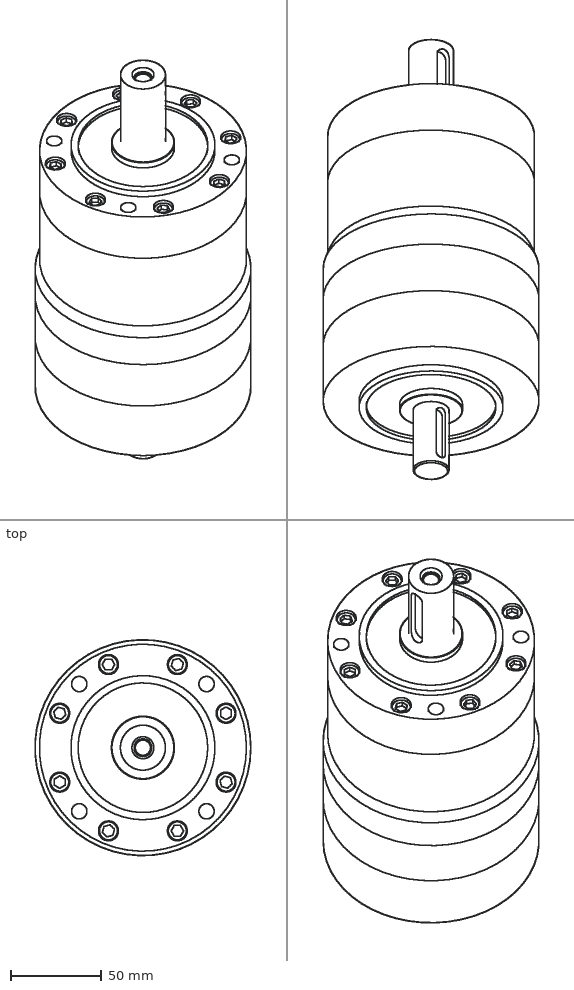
import cadquery as cq
import math


slim_diameter = 115.0
wide_diameter = 120.0
output_flange_length = 30.0
output_ring_length = 49.0
adapter_length = 26.0
adapter_taper_length = 6.5
input_ring_length = 30.0
input_flange_length = 36.0

output_ring_top = -output_flange_length
adapter_top = output_ring_top - output_ring_length
input_ring_top = adapter_top - adapter_length
input_flange_top = input_ring_top - input_ring_length
input_face = input_flange_top - input_flange_length

spigot_diameter = 80.0
spigot_height = 4.0
seal_outer_diameter = 72.0
seal_width = 10.0
seal_recess = 2.0

shoulder_diameter = 35.0
shoulder_height = 6.0
shoulder_chamfer = 0.3
output_shaft_diameter = 25.0
output_shaft_length = 49.0
output_root_fillet = 0.5
input_shaft_diameter = 20.0
input_shaft_length = 39.0
input_end_chamfer = 0.8

output_key_width = 8.0
output_key_depth = 4.0
output_key_length = 40.0
output_key_setback = 5.0
input_key_width = 6.0
input_key_depth = 3.5
input_key_length = 32.0
input_key_setback = 4.0

centre_mouth_diameter = 12.2
centre_relief_diameter = 9.8
centre_relief_depth = 3.2
centre_cone_angle = 60.0
centre_core_diameter = 8.5
centre_core_depth = 30.0

bolt_circle_radius = 50.0
mounting_hole_count = 4
mounting_hole_diameter = 8.5
mounting_hole_depth = 20.0
drill_point_angle = 118.0
screw_count = 8
screw_pocket_diameter = 11.0
screw_pocket_depth = 6.5
screw_head_diameter = 10.0
screw_head_height = 5.0
socket_across_flats = 6.0
socket_depth = 3.0


def cylinder(diameter, start, end):
    """Cylinder on the Z axis between two heights."""
    bottom = min(start, end)
    return cq.Workplane("XY").workplane(offset=bottom).circle(diameter / 2).extrude(abs(end - start))


def cone_height(start_diameter, end_diameter, included_angle):
    return (start_diameter - end_diameter) / 2 / math.tan(math.radians(included_angle / 2))


def drilled_hole(diameter, top, depth):
    """Blind drilled hole on the Z axis with a conical bottom."""
    radius = diameter / 2
    tip_height = cone_height(diameter, 0, drill_point_angle)
    return (
        cq.Workplane("XZ")
        .moveTo(0, top)
        .lineTo(radius, top)
        .lineTo(radius, top - depth)
        .lineTo(0, top - depth - tip_height)
        .close()
        .revolve(360, (0, 0), (0, 1))
    )


def around_bolt_circle(shape, count):
    """Copies of a shape on the bolt circle, the first half a pitch from +X."""
    pitch = 360.0 / count
    placed = shape.translate((bolt_circle_radius, 0, 0))
    return [placed.rotate((0, 0, 0), (0, 0, 1), (i + 0.5) * pitch) for i in range(count)]


def end_flange(diameter, face, back, outward):
    """Flange with a centring spigot, a seal seat and a bore for the shaft shoulder."""
    spigot_end = face + outward * spigot_height
    seat_bottom = spigot_end - outward * (seal_recess + seal_width)
    return (
        cylinder(diameter, face, back)
        .union(cylinder(spigot_diameter, face, spigot_end))
        .cut(cylinder(seal_outer_diameter, spigot_end, seat_bottom))
        .cut(cylinder(shoulder_diameter, spigot_end, back))
    )


def shaft_seal(face, outward):
    """Seal ring filling its seat, set slightly below the end of the spigot."""
    outer_side = face + outward * (spigot_height - seal_recess)
    inner_side = outer_side - outward * seal_width
    return cylinder(seal_outer_diameter, outer_side, inner_side).cut(
        cylinder(shoulder_diameter, outer_side, inner_side)
    )


def keyway(width, depth, length, shaft_diameter, middle_height):
    """Round-ended keyway cutter sunk into the +Y side of a shaft."""
    floor = shaft_diameter / 2 - depth
    return (
        cq.Workplane("XZ", origin=(0, floor, middle_height))
        .slot2D(length, width, 90)
        .extrude(-shaft_diameter)
    )


def screw_recess():
    """Annular pocket that leaves a screw head with a hex socket standing in it."""
    head_top = screw_head_height - screw_pocket_depth
    socket_turn = 30.0 - 180.0 / screw_count
    socket_circle = socket_across_flats / math.cos(math.pi / 6)
    socket = (
        cq.Workplane("XY")
        .workplane(offset=head_top)
        .polygon(6, socket_circle)
        .extrude(-socket_depth)
        .rotate((0, 0, 0), (0, 0, 1), socket_turn)
    )
    head = cylinder(screw_head_diameter, head_top, -screw_pocket_depth).cut(socket)
    return cylinder(screw_pocket_diameter, 0, -screw_pocket_depth).cut(head)


def make_output_flange():
    flange = end_flange(slim_diameter, 0, output_ring_top, 1)
    mounting_hole = drilled_hole(mounting_hole_diameter, 0, mounting_hole_depth)
    for hole in around_bolt_circle(mounting_hole, mounting_hole_count):
        flange = flange.cut(hole)
    for recess in around_bolt_circle(screw_recess(), screw_count):
        flange = flange.cut(recess)
    return flange


def make_adapter():
    taper_end = adapter_top - adapter_taper_length
    return (
        cq.Workplane("XZ")
        .moveTo(0, adapter_top)
        .lineTo(slim_diameter / 2, adapter_top)
        .lineTo(wide_diameter / 2, taper_end)
        .lineTo(wide_diameter / 2, input_ring_top)
        .lineTo(0, input_ring_top)
        .close()
        .revolve(360, (0, 0), (0, 1))
    )


def make_centre_hole(shaft_end):
    mouth_radius = centre_mouth_diameter / 2
    relief_radius = centre_relief_diameter / 2
    cone_end = shaft_end - cone_height(centre_mouth_diameter, centre_relief_diameter, centre_cone_angle)
    relief_end = shaft_end - centre_relief_depth
    entry = (
        cq.Workplane("XZ")
        .moveTo(0, shaft_end)
        .lineTo(mouth_radius, shaft_end)
        .lineTo(relief_radius, cone_end)
        .lineTo(relief_radius, relief_end)
        .lineTo(0, relief_end)
        .close()
        .revolve(360, (0, 0), (0, 1))
    )
    return entry.union(drilled_hole(centre_core_diameter, shaft_end, centre_core_depth))


def make_output_shaft():
    shoulder_top = shoulder_height
    shaft_end = shoulder_top + output_shaft_length
    key_middle = shaft_end - output_key_setback - output_key_length / 2
    shoulder = cylinder(shoulder_diameter, output_ring_top, shoulder_top)
    shoulder = shoulder.faces(">Z").edges().chamfer(shoulder_chamfer)
    journal = cylinder(output_shaft_diameter, shoulder_top, shaft_end)
    root_edge = cq.selectors.RadiusNthSelector(0)
    shaft = shoulder.union(journal)
    shaft = shaft.faces(">Z[-2]").edges(root_edge).fillet(output_root_fillet)
    shaft = shaft.cut(
        keyway(output_key_width, output_key_depth, output_key_length, output_shaft_diameter, key_middle)
    )
    return shaft.cut(make_centre_hole(shaft_end))


def make_input_shaft():
    shoulder_bottom = input_face - shoulder_height
    shaft_end = shoulder_bottom - input_shaft_length
    key_middle = shaft_end + input_key_setback + input_key_length / 2
    shoulder = cylinder(shoulder_diameter, input_flange_top, shoulder_bottom)
    shoulder = shoulder.faces("<Z").edges().chamfer(shoulder_chamfer)
    journal = cylinder(input_shaft_diameter, shoulder_bottom, shaft_end)
    journal = journal.faces("<Z").edges().chamfer(input_end_chamfer)
    return shoulder.union(journal).cut(
        keyway(input_key_width, input_key_depth, input_key_length, input_shaft_diameter, key_middle)
    )


output_flange = make_output_flange()
output_ring_gear = cylinder(slim_diameter, output_ring_top, adapter_top)
adapter = make_adapter()
input_ring_gear = cylinder(wide_diameter, input_ring_top, input_flange_top)
input_flange = end_flange(wide_diameter, input_face, input_flange_top, -1)
output_seal = shaft_seal(0, 1)
input_seal = shaft_seal(input_face, -1)
output_shaft = make_output_shaft()
input_shaft = make_input_shaft()

result = cq.Compound.makeCompound(
    [
        output_flange.val(),
        output_ring_gear.val(),
        adapter.val(),
        input_ring_gear.val(),
        input_flange.val(),
        output_seal.val(),
        input_seal.val(),
        output_shaft.val(),
        input_shaft.val(),
    ]
)